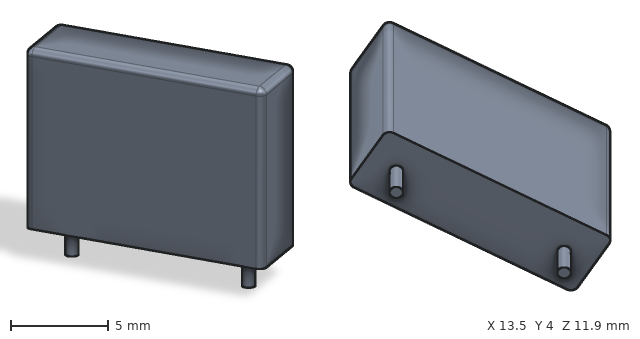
import cadquery as cq

body_length = 13.5
body_width = 4.0
total_height = 11.9
lead_length = 1.89
lead_diameter = 0.7
lead_pitch = 10.0
edge_radius = 0.4

body_height = total_height - lead_length


def make_body():
    """Box standing on Z = 0, rounded everywhere except around its base."""
    box = cq.Workplane("XY").box(
        body_length, body_width, body_height, centered=(True, True, False)
    )
    return box.edges("|Z or >Z").fillet(edge_radius)


def make_leads():
    """Two straight round leads hanging below the base."""
    lead_centers = [(-lead_pitch / 2, 0), (lead_pitch / 2, 0)]
    return (
        cq.Workplane("XY")
        .pushPoints(lead_centers)
        .circle(lead_diameter / 2)
        .extrude(-lead_length)
    )


result = make_body().union(make_leads())